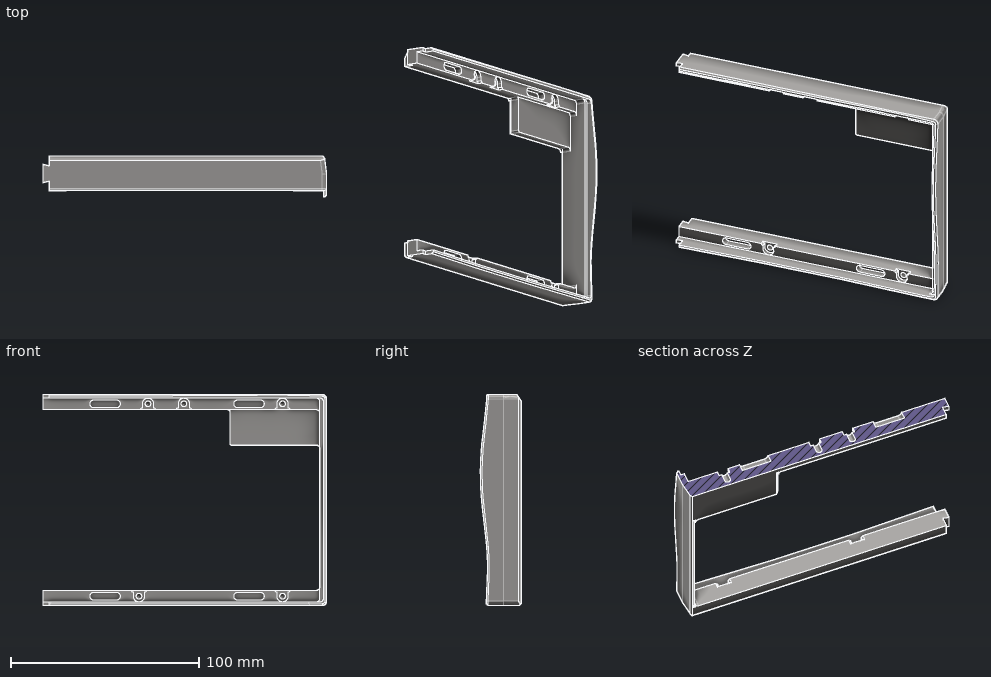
import cadquery as cq
import math


length = 150.88
height = 112.2
max_depth = 21.84
corner_radius = 2.4
front_chamfer = 0.95
overhang = 3.0

arm_thickness = 8.1
arm_depth = 10.4
lip_thickness = 1.95
wall_lip_thickness = 1.75
wall_thickness = 3.75
wall_depth = 15.9
inner_radius = 1.8
back_edge_chamfer = 1.4
wall_inner_x = length - wall_thickness

top_back_chamfer_y = 2.3
top_back_chamfer_z = 3.6
bottom_back_chamfer = 1.0
wall_back_chamfer_x = 0.7
wall_back_chamfer_y = 1.4
wall_draft_x = 1.2
wall_draft_depth = 9.5

top_front_depth = 18.4
peak_z = 73.0
peak_depth = 21.82
bottom_front_depth = 18.7
front_edge = [
    (0, bottom_front_depth),
    (21, 18.0),
    (38, 19.1),
    (54, 21.0),
    (peak_z, peak_depth),
    (92, 20.4),
    (height, top_front_depth),
    (height + overhang, top_front_depth),
]

arch_start_x = 3.5
arch_end_x = 142.0
arch_mid_depth = 17.45

tongue_length = 3.35
tongue_back_depth = 4.4
tongue_front_depth = 14.25
tongue_flare = 0.75

block_start_x = 99.4
block_bottom_z = 85.2
block_depth = 6.4
block_corner_radius = 1.0
block_root_radius = 1.2

feature_offset_z = 5.0
slot_length = 16.2
slot_width = 4.1
slot_depth = 4.0
slot_centres_x = [33.1, 109.6]
upper_hole_x = [55.9, 75.0, 127.4]
lower_hole_x = [51.1, 127.4]
hole_diameter = 3.0
hole_depth = 5.0
drill_tip_angle = 118.0
recess_radius = 3.0
recess_depth = 2.5
recess_mouth_radius = 1.0


def box(x0, x1, depth0, depth1, z0, z1):
    """Axis-aligned box between two X values, two depths and two Z values."""
    return cq.Workplane("XY").box(x1 - x0, depth1 - depth0, z1 - z0, centered=False).translate((x0, -depth1, z0))


def front_plane(depth):
    """Sketch plane in X and Z at a depth; positive extrusion goes toward the front."""
    return cq.Workplane("XZ", origin=(0, -depth, 0))


def frame_outline(depth, end_x):
    """Outline at a depth, with rounded corners at its wall end."""
    return (
        front_plane(depth)
        .rect(end_x, height, centered=False)
        .extrude(overhang)
        .edges("|Y and >X")
        .fillet(corner_radius)
        .faces(">Y")
        .wires()
        .val()
    )


def leaning_back():
    """Back part of the frame, whose wall end leans inward toward the back face."""
    front_wire = frame_outline(wall_draft_depth, length)
    back_wire = frame_outline(0, length - wall_draft_x)
    return cq.Workplane(cq.Solid.makeLoft([back_wire, front_wire], True))


def lower_arch():
    """Sliver removed from the front of the lower arm, leaving a shallow arch."""
    return (
        cq.Workplane("XY")
        .moveTo(arch_start_x, -bottom_front_depth - overhang)
        .lineTo(arch_start_x, -bottom_front_depth)
        .threePointArc(((arch_start_x + arch_end_x) / 2, -arch_mid_depth), (arch_end_x, -bottom_front_depth))
        .lineTo(arch_end_x, -bottom_front_depth - overhang)
        .close()
        .extrude(arm_thickness)
    )


def outer_body():
    """Rounded slab with the wavy, chamfered front edge and the shaped back edges."""
    slab = box(0, length, wall_draft_depth, max_depth + overhang, 0, height)
    slab = slab.edges("|Y and >X").fillet(corner_radius)
    wavy = (
        cq.Workplane("YZ")
        .moveTo(0, -overhang)
        .lineTo(-bottom_front_depth, -overhang)
        .spline([(-depth, z) for z, depth in front_edge], includeCurrent=True)
        .lineTo(0, height + overhang)
        .close()
        .extrude(length + overhang)
    )
    body = slab.intersect(wavy).cut(lower_arch())
    body = body.faces("<Y").edges("not <X").chamfer(front_chamfer)
    body = body.union(leaning_back())
    side = (
        cq.Workplane("YZ")
        .polyline([
            (-bottom_back_chamfer, 0),
            (-max_depth, 0),
            (-max_depth, height),
            (-top_back_chamfer_y, height),
            (0, height - top_back_chamfer_z),
            (0, bottom_back_chamfer),
        ])
        .close()
        .extrude(length)
    )
    bevel_end_x = length - wall_draft_x * (1 - wall_back_chamfer_y / wall_draft_depth)
    plan = (
        cq.Workplane("XY")
        .polyline([
            (0, 0),
            (length - wall_draft_x - wall_back_chamfer_x, 0),
            (bevel_end_x, -wall_back_chamfer_y),
            (length, -wall_back_chamfer_y),
            (length, -max_depth),
            (0, -max_depth),
        ])
        .close()
        .extrude(height)
    )
    return body.intersect(side).intersect(plan)


def opening(end_x, margin_z, depth0, depth1):
    """Opening between the arms from the free ends to end_x, with rounded inner corners."""
    pocket = box(-1, end_x, depth0, depth1, margin_z, height - margin_z)
    return pocket.edges("|Y and >X").fillet(inner_radius)


def corner_at(x, z):
    """Selector for the edges along Y that pass through (x, z)."""
    return cq.selectors.BoxSelector((x - 0.1, -length, z - 0.1), (x + 0.1, length, z + 0.1))


def opening_with_block():
    """Opening behind the block's front face, with the block left standing in its corner."""
    pocket = box(-overhang, wall_inner_x, -overhang, block_depth, arm_thickness, height - arm_thickness)
    keep = box(block_start_x, length, -overhang, block_depth, block_bottom_z, height)
    pocket = pocket.cut(keep)
    pocket = pocket.edges("|Y").edges(corner_at(block_start_x, block_bottom_z)).fillet(block_corner_radius)
    pocket = pocket.edges("|Y").edges(corner_at(block_start_x, height - arm_thickness)).fillet(block_root_radius)
    return pocket.edges("|Y and >X").fillet(inner_radius)


def back_bevel(x, z0, z1):
    """Wedge that bevels the back edge of a face at x that looks toward the free ends."""
    return (
        cq.Workplane("XY", origin=(x, 0, z0))
        .polyline([(0, 0), (back_edge_chamfer, 0), (0, -back_edge_chamfer)])
        .close()
        .extrude(z1 - z0)
    )


def tongue_end():
    """Material cleared at the arm ends, leaving a dovetail tongue."""
    back_clear = (
        cq.Workplane("XY")
        .polyline([
            (0, overhang),
            (0, -tongue_back_depth),
            (tongue_length, -tongue_back_depth - tongue_flare),
            (tongue_length, overhang),
        ])
        .close()
        .extrude(height)
    )
    front_clear = (
        cq.Workplane("XY")
        .polyline([
            (0, -max_depth),
            (0, -tongue_front_depth),
            (tongue_length, -tongue_front_depth + tongue_flare),
            (tongue_length, -max_depth),
        ])
        .close()
        .extrude(height)
    )
    return back_clear.union(front_clear)


def slot(x, z):
    """Blind round-ended slot in the front face of an arm."""
    return front_plane(arm_depth - slot_depth).center(x, z).slot2D(slot_length, slot_width).extrude(slot_depth)


def screw_recess(x, z, inward):
    """Recess around a blind screw hole, open toward the inside of the frame (inward is +1 or -1 in Z)."""
    mouth_z = inward * (arm_thickness - feature_offset_z)
    side_x = recess_radius
    flare_x = recess_radius + recess_mouth_radius
    flare_z = mouth_z - inward * recess_mouth_radius
    floor_depth = arm_depth - recess_depth
    recess = (
        front_plane(floor_depth)
        .center(x, z)
        .moveTo(-side_x, 0)
        .threePointArc((0, -inward * recess_radius), (side_x, 0))
        .lineTo(side_x, flare_z)
        .radiusArc((flare_x, mouth_z), -inward * recess_mouth_radius)
        .lineTo(-flare_x, mouth_z)
        .radiusArc((-side_x, flare_z), -inward * recess_mouth_radius)
        .close()
        .extrude(recess_depth)
    )
    hole_radius = hole_diameter / 2
    tip_length = hole_radius / math.tan(math.radians(drill_tip_angle / 2))
    hole = (
        cq.Workplane("XY")
        .polyline([
            (0, -floor_depth),
            (hole_radius, -floor_depth),
            (hole_radius, -floor_depth + hole_depth),
            (0, -floor_depth + hole_depth + tip_length),
        ])
        .close()
        .revolve(360, (0, 0), (0, 1))
        .translate((x, 0, z))
    )
    return recess.union(hole)


front_limit = max_depth + overhang
result = outer_body()
result = result.cut(opening_with_block())
result = result.cut(opening(wall_inner_x, arm_thickness, block_depth, front_limit))
result = result.cut(opening(wall_inner_x, lip_thickness, arm_depth, front_limit))
result = result.cut(opening(length - wall_lip_thickness, lip_thickness, wall_depth, front_limit))
result = result.cut(back_bevel(wall_inner_x, arm_thickness, block_bottom_z))
result = result.cut(back_bevel(block_start_x, block_bottom_z, height - arm_thickness))
result = result.cut(tongue_end())

upper_z = height - feature_offset_z
lower_z = feature_offset_z
for slot_x in slot_centres_x:
    result = result.cut(slot(slot_x, upper_z)).cut(slot(slot_x, lower_z))
for hole_x in upper_hole_x:
    result = result.cut(screw_recess(hole_x, upper_z, -1))
for hole_x in lower_hole_x:
    result = result.cut(screw_recess(hole_x, lower_z, 1))